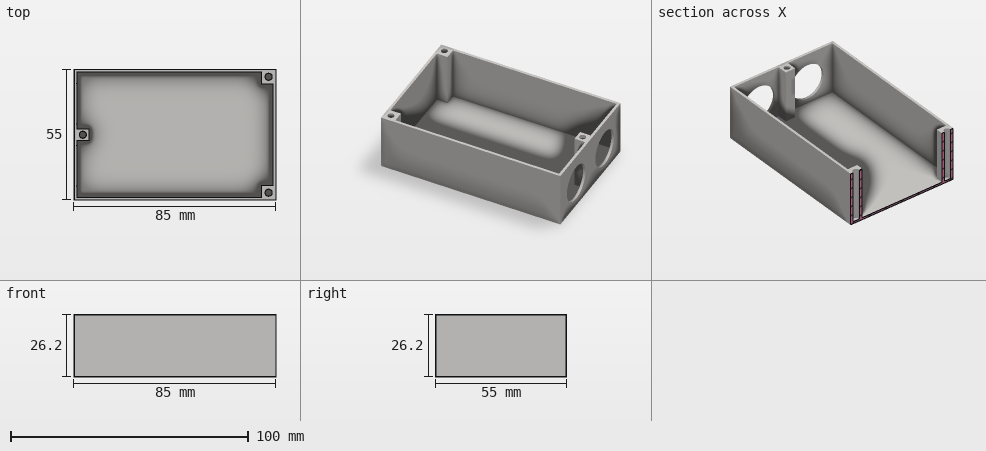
import cadquery as cq

length = 85.0
width = 55.0
height = 26.2
wall = 1.2

post_side = 5.0
screw_diameter = 3.0
corner_side = post_side + wall

opening_diameter = 17.0
opening_spacing = 26.0
opening_height = 12.1


def make_box():
    outer = cq.Workplane("XY").box(length, width, height, centered=(True, True, False))
    return outer.faces(">Z").shell(-wall)


def make_post(x, y, side):
    """Square post centred at (x, y), rising from the underside to the rim."""
    return cq.Workplane("XY").center(x, y).rect(side, side).extrude(height)


def make_screw_hole(x, y):
    """Blind screw hole from the rim down to the top of the floor."""
    return (
        cq.Workplane("XY", origin=(x, y, wall))
        .circle(screw_diameter / 2)
        .extrude(height - wall)
    )


corner_x = length / 2 - corner_side / 2
corner_y = width / 2 - corner_side / 2
middle_x = -length / 2 + wall + post_side / 2
posts = [
    (corner_x, corner_y, corner_side),
    (corner_x, -corner_y, corner_side),
    (middle_x, 0, post_side),
]

result = make_box()
for x, y, side in posts:
    result = result.union(make_post(x, y, side))
for x, y, side in posts:
    result = result.cut(make_screw_hole(x, y))

openings = (
    cq.Workplane("YZ", origin=(-length / 2, 0, opening_height))
    .pushPoints([(-opening_spacing / 2, 0), (opening_spacing / 2, 0)])
    .circle(opening_diameter / 2)
    .extrude(wall)
)
result = result.cut(openings)